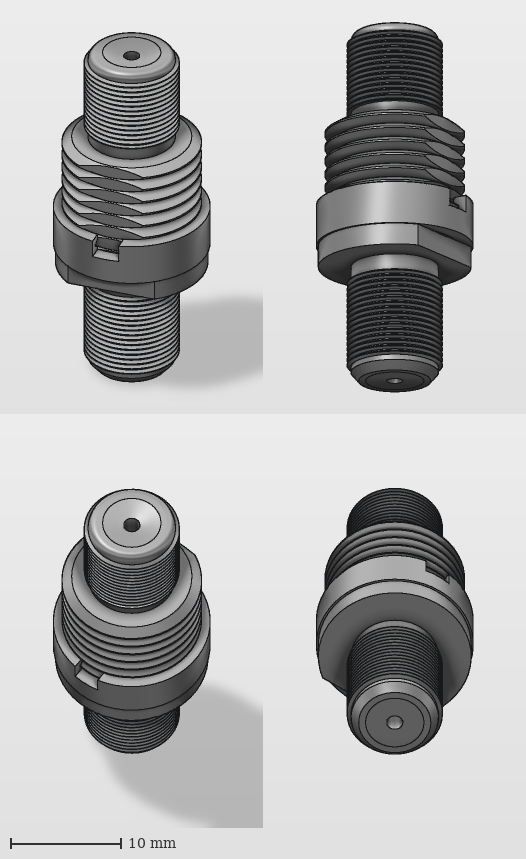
import cadquery as cq
import math

length = 33.02
flange_bottom = 10.83
nut_bottom = 12.8
nut_top = 16.7
stud_top = 24.07

shaft_radius = 3.95
fine_crest_radius = 4.33
fine_crest_width = 0.05
fine_base_width = 0.4
lower_chamfer_radial = 0.7
lower_chamfer_height = 0.8
top_fillet = 0.75
lower_thread_teeth = 16
lower_thread_first_crest = 1.5
lower_thread_last_crest = 9.2
upper_thread_teeth = 13
upper_thread_first_crest = 25.85
upper_thread_last_crest = 31.93
neck_top = 25.4
end_disc_thickness = 0.05

stud_crest_radius = 6.35
stud_root_radius = 5.45
stud_crest_width = 0.15
stud_base_width = 1.25
stud_teeth = 8
stud_first_crest = 14.53
stud_last_crest = stud_top - stud_base_width / 2

flange_radius = 6.95
flat_distance = 5.55

nut_diameter = 14.23
nut_radius = nut_diameter / 2
nut_bore_radius = 5.78
slot_width = 2.5
slot_depth = 1.62

insulator_radius = 2.65
bore_radius = 0.73
cone_depth = 0.35


def thread_points(first_crest, last_crest, teeth, root_radius, crest_radius, base_width, crest_width):
    """Radius and height points of ring-shaped V teeth, from bottom to top."""
    pitch = (last_crest - first_crest) / (teeth - 1)
    points = []
    for tooth in range(teeth):
        crest = first_crest + tooth * pitch
        points.append((root_radius, crest - base_width / 2))
        points.append((crest_radius, crest - crest_width / 2))
        points.append((crest_radius, crest + crest_width / 2))
        points.append((root_radius, crest + base_width / 2))
    return points


def revolve_outline(sketch):
    """Close a radius-and-height outline and turn it a full circle about Z."""
    return sketch.close().revolve(axisStart=(0, 0, 0), axisEnd=(0, 1, 0))


def make_threaded_shaft():
    """Full round body before the flat is cut, with every thread on it."""
    lower_thread = thread_points(
        lower_thread_first_crest, lower_thread_last_crest, lower_thread_teeth,
        shaft_radius, fine_crest_radius, fine_base_width, fine_crest_width,
    )
    stud_thread = thread_points(
        stud_first_crest, stud_last_crest, stud_teeth,
        stud_root_radius, stud_crest_radius, stud_base_width, stud_crest_width,
    )
    upper_thread = thread_points(
        upper_thread_first_crest, upper_thread_last_crest, upper_thread_teeth,
        shaft_radius, fine_crest_radius, fine_base_width, fine_crest_width,
    )
    end_disc = [
        (shaft_radius, neck_top),
        (fine_crest_radius, neck_top),
        (fine_crest_radius, neck_top + end_disc_thickness),
        (shaft_radius, neck_top + 2 * end_disc_thickness),
    ]
    outline = [
        (0, 0),
        (shaft_radius - lower_chamfer_radial, 0),
        (shaft_radius, lower_chamfer_height),
        *lower_thread,
        (shaft_radius, flange_bottom),
        (flange_radius, flange_bottom),
        (flange_radius, nut_bottom),
        (stud_root_radius, nut_bottom),
        *stud_thread,
        (shaft_radius, stud_top),
        *end_disc,
        *upper_thread,
        (shaft_radius, length - top_fillet),
    ]
    fillet_middle = (
        shaft_radius - top_fillet + top_fillet * math.cos(math.pi / 4),
        length - top_fillet + top_fillet * math.sin(math.pi / 4),
    )
    sketch = (
        cq.Workplane("XZ")
        .polyline(outline)
        .threePointArc(fillet_middle, (shaft_radius - top_fillet, length))
        .lineTo(0, length)
    )
    return revolve_outline(sketch)


def make_body(threaded_shaft):
    """Threaded shaft with the flat on its -Y side and a bore for the insulator."""
    flat_cut = (
        cq.Workplane("XY", origin=(0, -flat_distance - flange_radius, flange_bottom))
        .rect(2 * flange_radius, 2 * flange_radius)
        .extrude(stud_top - flange_bottom)
    )
    bore = cq.Workplane("XY").circle(insulator_radius).extrude(length)
    return threaded_shaft.cut(flat_cut).cut(bore).solids()


def make_nut(threaded_shaft):
    """Ring nut threaded to match the stud, slotted across its top face along Y."""
    ring = (
        cq.Workplane("XY", origin=(0, 0, nut_bottom))
        .circle(nut_radius)
        .circle(nut_bore_radius)
        .extrude(nut_top - nut_bottom)
    )
    slot = (
        cq.Workplane("XY", origin=(0, 0, nut_top - slot_depth))
        .rect(slot_width, 2 * nut_radius)
        .extrude(slot_depth)
    )
    return ring.cut(slot).cut(threaded_shaft).solids()


def make_insulator():
    """Full-length sleeve with a shallow lead-in cone at the top of its bore."""
    sketch = cq.Workplane("XZ").polyline([
        (bore_radius, 0),
        (insulator_radius, 0),
        (insulator_radius, length),
        (bore_radius, length - cone_depth),
    ])
    return revolve_outline(sketch)


threaded_shaft = make_threaded_shaft()
body = make_body(threaded_shaft)
nut = make_nut(threaded_shaft)
insulator = make_insulator()

result = cq.Compound.makeCompound([body.val(), nut.val(), insulator.val()])